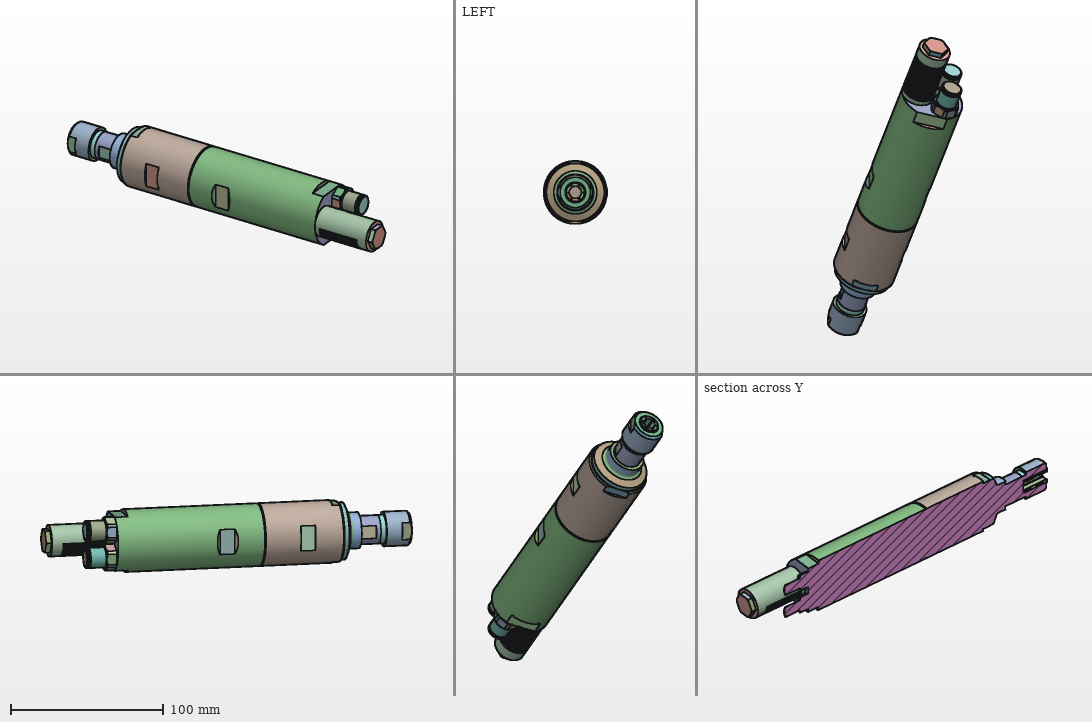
import cadquery as cq
import math


COLLET_DIAMETER = 13.5
COLLET_CHAMFER = 0.75
COLLET_BORE_DIAMETER = 8.0
COLLET_BORE_DEPTH = 20.0
COLLET_SLIT_WIDTH = 0.5
COLLET_SLIT_COUNT = 6
COLLET_PROTRUSION = 0.8
NUT_DIAMETER = 23.0
NUT_CHAMFER = 1.5
NUT_END = 18.0
NUT_ACROSS_FLATS = 20.0
NUT_FLATS_END = 7.5

NECK_DIAMETER = 19.0
NECK_RELIEF_DIAMETER = 18.98
NECK_RELIEF_END = 21.6
NECK_ACROSS_FLATS = 17.0
NECK_FLATS_START = 24.6
NECK_FLATS_LENGTH = 10.0
COLLAR_DIAMETER = 24.0
COLLAR_START = 35.0
COLLAR_END = 40.8

COVER_FILLET = 2.15
COVER_CONE_END = 45.1
COVER_DIAMETER = 38.0

HOUSING_DIAMETER = 41.5
HOUSING_START = 48.3
HOUSING_CHAMFER = 1.0
HOUSING_END = 201.0
HEAD_END = 68.0
GROOVE_DIAMETER = 41.0
GROOVE_START = 101.5
GROOVE_WIDTH = 0.8

ACROSS_FLATS = 38.0
HEAD_FLATS_END = 54.0
SIDE_FLATS_LENGTH = 9.8
CLAMP_FLATS_START = 122.3
CLAMP_FLATS_LENGTH = 9.9
CLAMP_FLANK_RUN = 2.1
REAR_FLATS_START = 192.4
REAR_ACROSS_FLATS = 36.0

CONNECTOR_Y = 7.75
CONNECTOR_Z = 9.0
CONNECTOR_HEX = 16.5
CONNECTOR_CORNER_DIAMETER = 17.9
CONNECTOR_HEX_END = 207.8
CONNECTOR_HEX_CHAMFER = 0.8
CONNECTOR_DIAMETER = 13.5
CONNECTOR_GROOVE_DIAMETER = 13.0
CONNECTOR_GROOVE_START = 218.0
CONNECTOR_GROOVE_END = 218.8
CONNECTOR_RIM_CHAMFER = 0.7
CONNECTOR_END = 220.6

TUBE_DIAMETER = 21.0
TUBE_Y = -TUBE_DIAMETER / 2
TUBE_END = 240.9
PLUG_HEX = 14.5
PLUG_CHAMFER = 0.5
OVERALL_LENGTH = 244.37

SLOT_START = 204.5
SLOT_END = 233.2
SLOT_WIDTH = 0.8
SLOT_DEPTH = 0.5
SLOT_PITCH_ANGLE = 10.0
SLOT_COUNT = 18


def cylinder(start, end, diameter, y=0.0, z=0.0):
    """Cylinder parallel to X between two stations."""
    return cq.Workplane("YZ", origin=(start, y, z)).circle(diameter / 2).extrude(end - start)


def hexagon(start, end, across_flats, y, z, turn):
    """Hexagonal bar parallel to X; turn = 0 points a corner along Y."""
    corner_diameter = across_flats / math.cos(math.radians(30))
    bar = cq.Workplane("YZ").polygon(6, corner_diameter).extrude(end - start)
    return bar.rotate((0, 0, 0), (1, 0, 0), turn).translate((start, y, z))


def spindle_and_housing():
    """Turned body: clamping nut, neck, collar, front cover and housing."""
    housing_radius = HOUSING_DIAMETER / 2
    groove_end = GROOVE_START + GROOVE_WIDTH
    collar_radius = COLLAR_DIAMETER / 2
    cover_radius = COVER_DIAMETER / 2
    fillet_middle = COVER_FILLET * math.sin(math.radians(45))
    fillet_centre_radius = collar_radius + COVER_FILLET
    profile = (
        cq.Workplane("XY")
        .moveTo(COLLET_PROTRUSION, 0)
        .lineTo(COLLET_PROTRUSION, NUT_DIAMETER / 2 - NUT_CHAMFER)
        .lineTo(COLLET_PROTRUSION + NUT_CHAMFER, NUT_DIAMETER / 2)
        .lineTo(NUT_END, NUT_DIAMETER / 2)
        .lineTo(NUT_END, NECK_RELIEF_DIAMETER / 2)
        .lineTo(NECK_RELIEF_END, NECK_RELIEF_DIAMETER / 2)
        .lineTo(NECK_RELIEF_END, NECK_DIAMETER / 2)
        .lineTo(COLLAR_START, NECK_DIAMETER / 2)
        .lineTo(COLLAR_START, collar_radius)
        .lineTo(COLLAR_END, collar_radius)
        .threePointArc(
            (COLLAR_END + fillet_middle, fillet_centre_radius - fillet_middle),
            (COLLAR_END + COVER_FILLET, fillet_centre_radius),
        )
        .lineTo(COVER_CONE_END, cover_radius)
        .lineTo(HOUSING_START, cover_radius)
        .lineTo(HOUSING_START, housing_radius - HOUSING_CHAMFER)
        .lineTo(HOUSING_START + HOUSING_CHAMFER, housing_radius)
        .lineTo(GROOVE_START, housing_radius)
        .lineTo(GROOVE_START, GROOVE_DIAMETER / 2)
        .lineTo(groove_end, GROOVE_DIAMETER / 2)
        .lineTo(groove_end, housing_radius)
        .lineTo(HOUSING_END, housing_radius)
        .lineTo(HOUSING_END, 0)
        .close()
    )
    return profile.revolve(360, (0, 0, 0), (1, 0, 0))


def flat_pair(start, end, across_flats, turn=0.0, flank_run=0.0):
    """Cutters leaving two opposite flats, facing +-Y, or +-Z with turn = 90.

    flank_run is how far each sloping end flank spreads along X up to the housing surface.
    """
    inner = across_flats / 2
    rise = HOUSING_DIAMETER / 2 - inner
    cutter = (
        cq.Workplane("XY", origin=(0, 0, -HOUSING_DIAMETER / 2))
        .polyline([
            (start, inner),
            (end, inner),
            (end + flank_run, inner + rise),
            (end + flank_run, HOUSING_DIAMETER),
            (start - flank_run, HOUSING_DIAMETER),
            (start - flank_run, inner + rise),
        ])
        .close()
        .extrude(HOUSING_DIAMETER)
    )
    pair = cutter.union(cutter.mirror("XZ"))
    return pair.rotate((0, 0, 0), (1, 0, 0), turn)


def collet_opening():
    """Cutter for the collet bore with its slits spread evenly around it."""
    opening = cylinder(0, COLLET_BORE_DEPTH, COLLET_BORE_DIAMETER)
    slit = (
        cq.Workplane("XY")
        .box(COLLET_BORE_DEPTH, COLLET_DIAMETER / 2, COLLET_SLIT_WIDTH, centered=(False, False, True))
    )
    for index in range(COLLET_SLIT_COUNT):
        angle = index * 360 / COLLET_SLIT_COUNT
        opening = opening.union(slit.rotate((0, 0, 0), (1, 0, 0), angle))
    return opening


def connector(z):
    """Hose connector: hexagon with rounded corners, then a grooved round body."""
    corner_limit = cylinder(HOUSING_END, CONNECTOR_HEX_END, CONNECTOR_CORNER_DIAMETER, CONNECTOR_Y, z)
    corner_limit = corner_limit.faces(">X").chamfer(CONNECTOR_HEX_CHAMFER)
    nut = hexagon(HOUSING_END, CONNECTOR_HEX_END, CONNECTOR_HEX, CONNECTOR_Y, z, 90).intersect(corner_limit)
    body = cylinder(HOUSING_END, CONNECTOR_GROOVE_START, CONNECTOR_DIAMETER, CONNECTOR_Y, z)
    core = cylinder(HOUSING_END, CONNECTOR_END, CONNECTOR_GROOVE_DIAMETER, CONNECTOR_Y, z)
    rim = cylinder(CONNECTOR_GROOVE_END, CONNECTOR_END, CONNECTOR_DIAMETER, CONNECTOR_Y, z)
    rim = rim.union(core).faces(">X").chamfer(CONNECTOR_RIM_CHAMFER)
    return nut.union(body).union(rim)


def exhaust_tube():
    """Tube with a hexagonal end plug and lengthwise slots over its lower half."""
    tube = cylinder(HOUSING_END, TUBE_END, TUBE_DIAMETER, TUBE_Y)
    plug = hexagon(TUBE_END, OVERALL_LENGTH, PLUG_HEX, TUBE_Y, 0, 0)
    plug_corner_diameter = PLUG_HEX / math.cos(math.radians(30))
    plug_limit = cylinder(TUBE_END, OVERALL_LENGTH, plug_corner_diameter, TUBE_Y)
    plug = plug.intersect(plug_limit.faces(">X").chamfer(PLUG_CHAMFER))
    slot_length = SLOT_END - SLOT_START
    slot = cq.Workplane("XY").box(slot_length, 2 * SLOT_DEPTH, SLOT_WIDTH)
    slot = slot.translate((SLOT_START + slot_length / 2, -TUBE_DIAMETER / 2, 0))
    for index in range(SLOT_COUNT):
        angle = (index + 0.5) * SLOT_PITCH_ANGLE
        placed = slot.rotate((0, 0, 0), (1, 0, 0), angle)
        tube = tube.cut(placed.translate((0, TUBE_Y, 0)))
    return tube.union(plug)


result = spindle_and_housing()
result = result.union(cylinder(0, NUT_END, COLLET_DIAMETER).faces("<X").chamfer(COLLET_CHAMFER))

result = result.cut(flat_pair(0, NUT_FLATS_END, NUT_ACROSS_FLATS))
result = result.cut(flat_pair(NECK_FLATS_START, NECK_FLATS_START + NECK_FLATS_LENGTH, NECK_ACROSS_FLATS))
result = result.cut(flat_pair(HOUSING_START, HEAD_FLATS_END, ACROSS_FLATS, turn=90))
result = result.cut(flat_pair(HEAD_END, HEAD_END + SIDE_FLATS_LENGTH, ACROSS_FLATS))
result = result.cut(
    flat_pair(
        CLAMP_FLATS_START,
        CLAMP_FLATS_START + CLAMP_FLATS_LENGTH,
        ACROSS_FLATS,
        flank_run=CLAMP_FLANK_RUN,
    )
)
result = result.cut(flat_pair(REAR_FLATS_START, HOUSING_END, REAR_ACROSS_FLATS, turn=90))

result = result.cut(collet_opening())

result = result.union(connector(CONNECTOR_Z)).union(connector(-CONNECTOR_Z))
result = result.union(exhaust_tube())